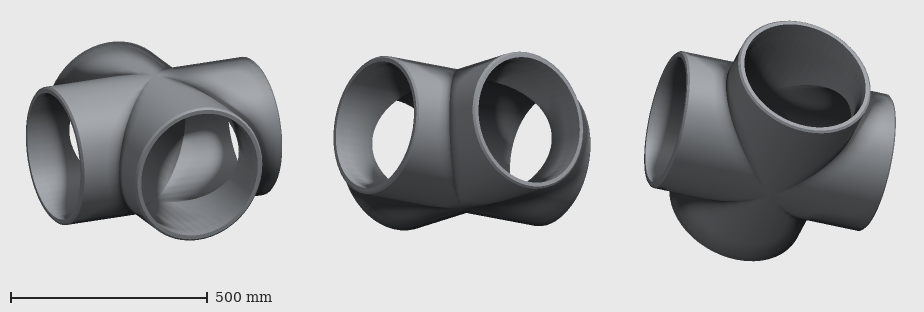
import cadquery as cq

run_length = 559.0
outer_diameter = 355.5
bore_diameter = 325.0
bevel_length = 5.0
bevel_depth = 5.0


def outer_run():
    """Solid round bar along X, bevelled on the outside of both ends."""
    half_length = run_length / 2
    outer_radius = outer_diameter / 2
    shoulder = half_length - bevel_length
    end_radius = outer_radius - bevel_depth
    half_profile = [
        (-half_length, 0),
        (-half_length, end_radius),
        (-shoulder, outer_radius),
        (shoulder, outer_radius),
        (half_length, end_radius),
        (half_length, 0),
    ]
    return cq.Workplane("XY").polyline(half_profile).close().revolve(360, (0, 0, 0), (1, 0, 0))


def bore_run():
    """Cylinder along X that clears the full pipe length."""
    return cq.Workplane("YZ").circle(bore_diameter / 2).extrude(run_length / 2, both=True)


def crossed(run):
    """Join a run along X with its copy turned to lie along Y."""
    return run.union(run.rotate((0, 0, 0), (0, 0, 1), 90))


result = crossed(outer_run()).cut(crossed(bore_run()))